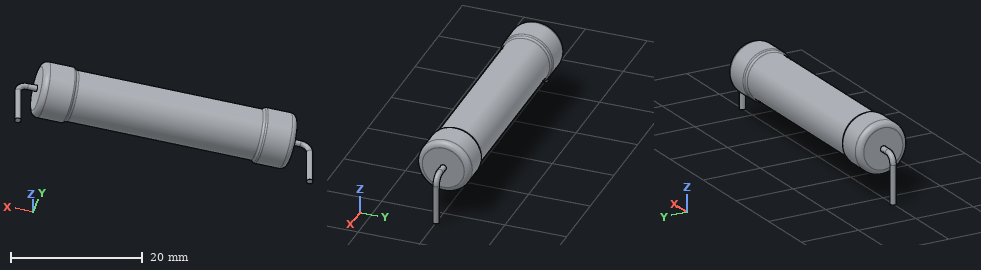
import cadquery as cq
import math

overall_length = 47.0
body_length = 40.05
cap_diameter = 8.7
tube_diameter = 8.0
end_round = 0.95
cap_length = 4.8
shoulder_round_width = 0.3
shoulder_blend_width = 0.4
lead_diameter = 1.0
bend_radius = 1.5
overall_height = 12.3

half_body = body_length / 2
cap_radius = cap_diameter / 2
tube_radius = tube_diameter / 2
lead_drop = overall_height - cap_radius
lead_x = overall_length / 2 - lead_diameter / 2

shoulder_width = shoulder_round_width + shoulder_blend_width
shoulder_angle = 2 * math.atan((cap_radius - tube_radius) / shoulder_width)
round_radius = shoulder_round_width / math.sin(shoulder_angle)
shoulder_start = half_body - cap_length
shoulder_middle = shoulder_start - shoulder_round_width
shoulder_end = shoulder_start - shoulder_width
middle_radius = cap_radius - round_radius * (1 - math.cos(shoulder_angle))


def make_body():
    """Solid of revolution: a tube with a wider, rounded cap at each end."""
    return (
        cq.Workplane("XY")
        .moveTo(-half_body, 0)
        .lineTo(-half_body, cap_radius - end_round)
        .radiusArc((-half_body + end_round, cap_radius), end_round)
        .lineTo(-shoulder_start, cap_radius)
        .tangentArcPoint((-shoulder_middle, middle_radius), relative=False)
        .tangentArcPoint((-shoulder_end, tube_radius), relative=False)
        .lineTo(shoulder_end, tube_radius)
        .tangentArcPoint((shoulder_middle, middle_radius), relative=False)
        .tangentArcPoint((shoulder_start, cap_radius), relative=False)
        .lineTo(half_body - end_round, cap_radius)
        .radiusArc((half_body, cap_radius - end_round), end_round)
        .lineTo(half_body, 0)
        .close()
        .revolve(360, (0, 0, 0), (1, 0, 0))
    )


def make_lead(side):
    """Round wire leaving an end face and bending down; side is -1 or 1."""
    bend_start = lead_x - bend_radius
    bend_offset = bend_radius * math.sin(math.pi / 4)
    bend_middle = (side * (bend_start + bend_offset), bend_offset - bend_radius)
    path = (
        cq.Workplane("XZ")
        .moveTo(side * half_body, 0)
        .lineTo(side * bend_start, 0)
        .threePointArc(bend_middle, (side * lead_x, -bend_radius))
        .lineTo(side * lead_x, -lead_drop)
    )
    return (
        cq.Workplane("YZ", origin=(side * half_body, 0, 0))
        .circle(lead_diameter / 2)
        .sweep(path)
    )


body = make_body()
leads = [make_lead(side) for side in (-1, 1)]

result = cq.Compound.makeCompound([body.val(), *[lead.val() for lead in leads]])